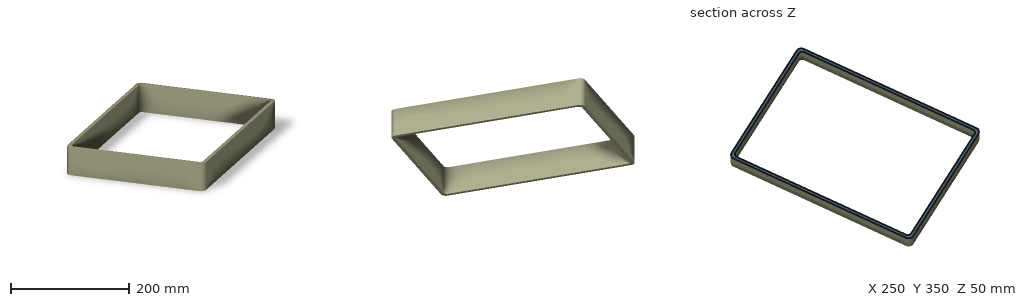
import cadquery as cq

length = 350.0
width = 250.0
height = 50.0
wall = 6.3
outer_radius = 9.0
inner_radius = 6.3


def rounded_block(size_x, size_y, corner_radius):
    """Block of the frame's height with its vertical edges rounded."""
    return cq.Workplane("XY").rect(size_x, size_y).extrude(height).edges("|Z").fillet(corner_radius)


outer = rounded_block(width, length, outer_radius)
opening = rounded_block(width - 2 * wall, length - 2 * wall, inner_radius)

result = outer.cut(opening)